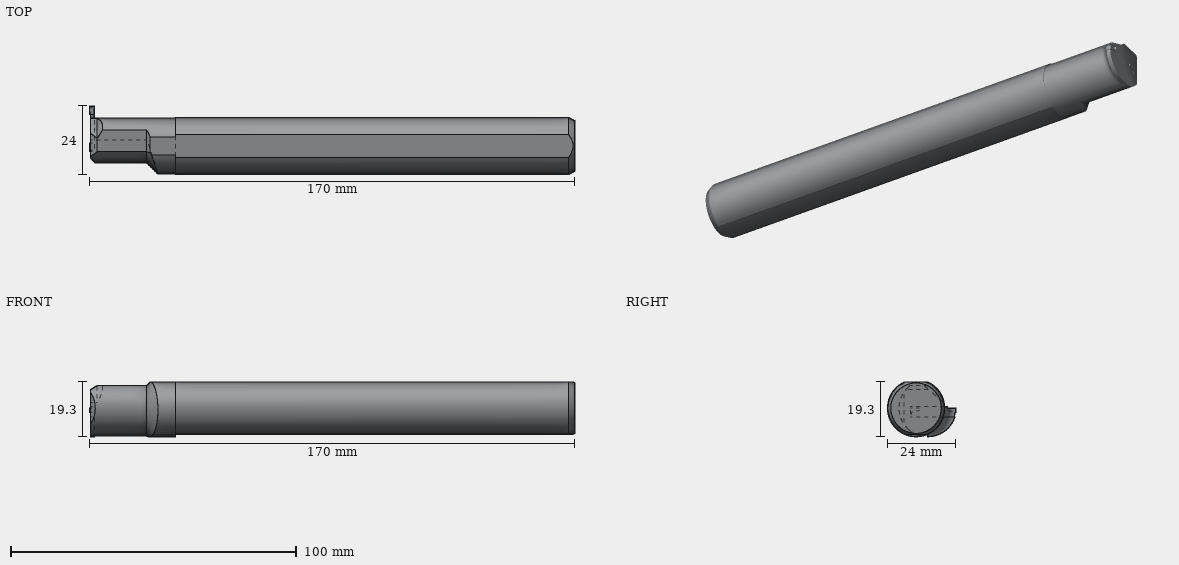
import cadquery as cq

TOTAL_LENGTH = 170.0
SHANK_RADIUS = 10.0
FLAT_HEIGHT = 9.2
SHANK_START = 30.1
END_CHAMFER_LENGTH = 2.2
END_CHAMFER_DEPTH = 1.2

HEAD_RADIUS = 9.9
HEAD_CENTER_Z = -0.2

FRONT_FACE_X = 0.3

NOSE_RADIUS = 10.0
NOSE_CENTER_Y = 4.0
NOSE_LENGTH = 20.0
NOSE_TOP = 8.0
NOSE_SIDE_CHAMFER = 1.7
NOSE_TOP_CHAMFER_LENGTH = 2.4
NOSE_TOP_CHAMFER_DEPTH = 1.5

RELIEF_INNER_Y = 4.0
RELIEF_INNER_Z = 6.8
RELIEF_SLOPE = 41.0
RELIEF_END_X = 2.7
RELIEF_WALL_RUN = 1.1
RELIEF_WALL_RISE = 1.1

INSERT_REAR_X = 1.7
INSERT_TIP_Y = 14.0
INSERT_BACK_Y = -1.9
INSERT_TOP = 0.5
INSERT_BOTTOM = -3.0
LAND_DROP = 0.5
LAND_LENGTH = 2.9
FLANK_TAPER = 0.5
TIP_INNER_Z = -0.8
TIP_OUTER_Z = -1.5

CUT_MARGIN = 17.0


def block(x0, x1, y0, y1, z0, z1):
    """Box between opposite limits on each axis."""
    return cq.Workplane("XY").box(x1 - x0, y1 - y0, z1 - z0, centered=False).translate((x0, y0, z0))


def rod(x0, x1, radius, y=0.0, z=0.0):
    """Cylinder along X."""
    return cq.Workplane("YZ", origin=(x0, y, z)).circle(radius).extrude(x1 - x0)


def make_shank():
    end_radius = SHANK_RADIUS - END_CHAMFER_DEPTH
    bar = (
        cq.Workplane("XY")
        .moveTo(SHANK_START, 0)
        .lineTo(SHANK_START, SHANK_RADIUS)
        .lineTo(TOTAL_LENGTH - END_CHAMFER_LENGTH, SHANK_RADIUS)
        .lineTo(TOTAL_LENGTH, end_radius)
        .lineTo(TOTAL_LENGTH, 0)
        .close()
        .revolve(360, (0, 0, 0), (1, 0, 0))
    )
    between_flats = block(0, TOTAL_LENGTH, -SHANK_RADIUS, SHANK_RADIUS, -FLAT_HEIGHT, FLAT_HEIGHT)
    return bar.intersect(between_flats)


def nose_envelope():
    """Cylinder around the offset axis that opens into a 45 degree cone behind the nose."""
    cone_length = SHANK_START - NOSE_LENGTH
    return (
        cq.Workplane("XY")
        .moveTo(0, NOSE_CENTER_Y)
        .lineTo(0, NOSE_CENTER_Y + NOSE_RADIUS)
        .lineTo(NOSE_LENGTH, NOSE_CENTER_Y + NOSE_RADIUS)
        .lineTo(SHANK_START, NOSE_CENTER_Y + NOSE_RADIUS + cone_length)
        .lineTo(SHANK_START, NOSE_CENTER_Y)
        .close()
        .revolve(360, (0, NOSE_CENTER_Y, 0), (1, NOSE_CENTER_Y, 0))
    )


def top_envelope():
    """Side outline with the front top chamfer, the nose flat and the ramp to the head flat."""
    ramp_run = FLAT_HEIGHT - NOSE_TOP
    return (
        cq.Workplane("XZ")
        .moveTo(FRONT_FACE_X, -CUT_MARGIN)
        .lineTo(FRONT_FACE_X, NOSE_TOP - NOSE_TOP_CHAMFER_DEPTH)
        .lineTo(FRONT_FACE_X + NOSE_TOP_CHAMFER_LENGTH, NOSE_TOP)
        .lineTo(NOSE_LENGTH, NOSE_TOP)
        .lineTo(NOSE_LENGTH + ramp_run, FLAT_HEIGHT)
        .lineTo(SHANK_START, FLAT_HEIGHT)
        .lineTo(SHANK_START, -CUT_MARGIN)
        .close()
        .extrude(CUT_MARGIN, both=True)
    )


def side_chamfer_cutter():
    """Wedge that bevels the front -Y edge of the nose."""
    side_y = NOSE_CENTER_Y - NOSE_RADIUS
    return (
        cq.Workplane("XY", origin=(0, 0, -CUT_MARGIN))
        .moveTo(FRONT_FACE_X, side_y)
        .lineTo(FRONT_FACE_X + NOSE_SIDE_CHAMFER, side_y)
        .lineTo(FRONT_FACE_X, side_y + NOSE_SIDE_CHAMFER)
        .close()
        .extrude(2 * CUT_MARGIN)
    )


def chip_relief_cutter():
    """Cutter drawn upright along its own Y, then tilted to the slope of the relief."""
    wall_scale = CUT_MARGIN / RELIEF_WALL_RISE
    return (
        cq.Workplane("XZ")
        .moveTo(0, 0)
        .lineTo(RELIEF_END_X, 0)
        .lineTo(RELIEF_END_X + RELIEF_WALL_RUN * wall_scale, CUT_MARGIN)
        .lineTo(0, CUT_MARGIN)
        .close()
        .extrude(CUT_MARGIN, both=True)
        .rotate((0, 0, 0), (1, 0, 0), -RELIEF_SLOPE)
        .translate((0, RELIEF_INNER_Y, RELIEF_INNER_Z))
    )


def make_insert_support():
    """Thin blade of the nose circle that carries the overhanging insert tip."""
    blade = rod(FRONT_FACE_X, INSERT_REAR_X, NOSE_RADIUS, NOSE_CENTER_Y)
    below_insert = block(
        0, INSERT_REAR_X, NOSE_CENTER_Y, INSERT_TIP_Y + CUT_MARGIN, -CUT_MARGIN, INSERT_BOTTOM
    )
    return blade.intersect(below_insert)


def make_holder():
    head = rod(FRONT_FACE_X, SHANK_START, HEAD_RADIUS, z=HEAD_CENTER_Z)
    head = head.intersect(nose_envelope()).intersect(top_envelope())
    head = head.cut(side_chamfer_cutter()).cut(chip_relief_cutter())
    slot = block(
        0, INSERT_REAR_X, INSERT_BACK_Y, INSERT_TIP_Y + CUT_MARGIN, INSERT_BOTTOM, INSERT_TOP
    )
    return head.union(make_shank()).union(make_insert_support()).cut(slot)


def make_insert():
    middle_y = (INSERT_TIP_Y + INSERT_BACK_Y) / 2
    half_length = INSERT_TIP_Y - middle_y
    land_start = half_length - LAND_LENGTH
    land_z = INSERT_TOP - LAND_DROP
    half_base = half_length - FLANK_TAPER
    outline = [
        (-half_base, INSERT_BOTTOM),
        (half_base, INSERT_BOTTOM),
        (half_length, land_z),
        (land_start, land_z),
        (land_start, INSERT_TOP),
        (-land_start, INSERT_TOP),
        (-land_start, land_z),
        (-half_length, land_z),
    ]
    front_plane = cq.Workplane("YZ", origin=(FRONT_FACE_X, 0, 0))
    insert = front_plane.polyline(outline).close().extrude(INSERT_REAR_X - FRONT_FACE_X)
    for end in (-1, 1):
        tip_outline = [
            (end * land_start, land_z),
            (end * half_length, land_z),
            (end * half_length, TIP_OUTER_Z),
            (end * land_start, TIP_INNER_Z),
        ]
        tip = cq.Workplane("YZ").polyline(tip_outline).close().extrude(INSERT_REAR_X)
        insert = insert.union(tip)
    return insert.translate((0, middle_y, 0))


holder = make_holder()
insert = make_insert()

result = cq.Compound.makeCompound([holder.solids().val(), insert.solids().val()])